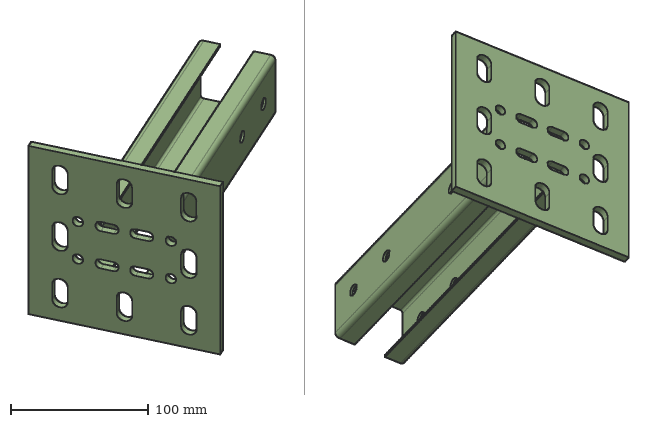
import cadquery as cq

total_length = 236.0
plate_side = 149.0
plate_thickness = 6.0

anchor_pitch = 50.0
anchor_slot_width = 12.0
anchor_slot_length = 25.0

small_row_height = 16.5
small_opening_width = 8.0
small_slot_length = 18.0
small_slot_offset = 13.5
small_hole_offset = 36.0

pair_width = 60.0
channel_height = 53.0
flange_width = 17.0
sheet_thickness = 2.0
outer_bend_radius = 4.0
inner_bend_radius = outer_bend_radius - sheet_thickness
channel_length = total_length - plate_thickness

web_hole_diameter = 9.0
web_hole_end_distance = 25.0
web_hole_pitch = (channel_length - 2 * web_hole_end_distance) / 4
web_hole_steps = (0, 1, 3, 4)


def make_plate():
    """Mounting plate in the XZ plane, its back face at Y = plate_thickness."""
    grid = (-anchor_pitch, 0, anchor_pitch)
    anchor_points = [(x, z) for x in grid for z in grid if (x, z) != (0, 0)]
    rows = (-small_row_height, small_row_height)
    small_slot_points = [(x, z) for x in (-small_slot_offset, small_slot_offset) for z in rows]
    small_hole_points = [(x, z) for x in (-small_hole_offset, small_hole_offset) for z in rows]

    plate = cq.Workplane("XZ").rect(plate_side, plate_side).extrude(-plate_thickness)
    openings = (
        cq.Workplane("XZ")
        .pushPoints(anchor_points)
        .slot2D(anchor_slot_length, anchor_slot_width, 90)
        .pushPoints(small_slot_points)
        .slot2D(small_slot_length, small_opening_width)
        .pushPoints(small_hole_points)
        .circle(small_opening_width / 2)
        .extrude(-plate_thickness)
    )
    return plate.cut(openings)


def make_channel(side):
    """Bent channel on one side (-1 left, +1 right), open toward the YZ plane."""
    web_x = side * pair_width / 2
    edge_x = side * (pair_width / 2 - flange_width)
    inner_web_x = web_x - side * sheet_thickness
    inner_height = channel_height - 2 * sheet_thickness

    outer_block = (
        cq.Workplane("XZ", origin=(0, plate_thickness, 0))
        .center((web_x + edge_x) / 2, 0)
        .rect(flange_width, channel_height)
        .extrude(-channel_length)
    )
    inner_block = (
        cq.Workplane("XZ", origin=(0, plate_thickness, 0))
        .center((inner_web_x + edge_x) / 2, 0)
        .rect(flange_width - sheet_thickness, inner_height)
        .extrude(-channel_length)
    )
    web_side = ">X" if side > 0 else "<X"
    outer_block = outer_block.faces(web_side).edges("|Y").fillet(outer_bend_radius)
    inner_block = inner_block.faces(web_side).edges("|Y").fillet(inner_bend_radius)
    return outer_block.cut(inner_block).cut(make_web_holes(web_x))


def make_web_holes(web_x):
    """Cutters for the row of round holes through a channel web."""
    first_hole_y = plate_thickness + web_hole_end_distance
    hole_points = [(first_hole_y + step * web_hole_pitch, 0) for step in web_hole_steps]
    return (
        cq.Workplane("YZ", origin=(web_x, 0, 0))
        .pushPoints(hole_points)
        .circle(web_hole_diameter / 2)
        .extrude(sheet_thickness, both=True)
    )


plate = make_plate()
channels = [make_channel(side) for side in (-1, 1)]

result = cq.Compound.makeCompound([plate.val(), *[channel.val() for channel in channels]])